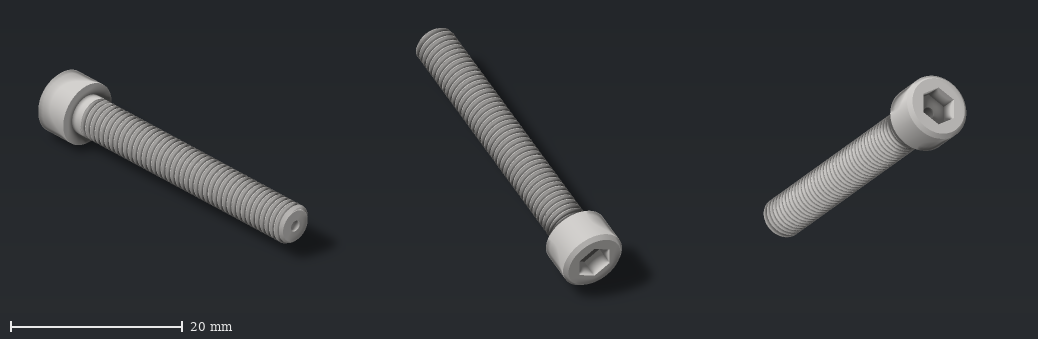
import cadquery as cq
import math


head_diameter = 7.82
head_height = 4.7
head_chamfer = 0.48
socket_across_flats = 4.0
socket_depth = 2.5

overall_length = 39.7
shank_length = overall_length - head_height
shank_diameter = 5.0
shank_radius = shank_diameter / 2
plain_length = 1.4
threaded_length = shank_length - plain_length
bore_diameter = 1.4
end_diameter = 3.97

pitch = 0.8
flank_slope = math.tan(math.radians(30))
sharp_height = pitch / 2 / flank_slope
thread_depth = sharp_height * 17 / 24
crest_width = pitch / 8
flank_width = thread_depth * flank_slope
root_radius = shank_radius - thread_depth
crest_on_top = 2.05
piece_count = 10
piece_length = threaded_length / piece_count


def cylinder(start, length, diameter):
    """Cylinder on the X axis, from X = start towards +X."""
    return cq.Workplane("YZ", origin=(start, 0, 0)).circle(diameter / 2).extrude(length)


def make_head():
    blank = cylinder(-head_height, head_height, head_diameter)
    return blank.faces("<X").chamfer(head_chamfer)


def make_socket():
    """Hexagonal pocket with two flats facing +Y and -Y."""
    across_corners = socket_across_flats / math.cos(math.radians(30))
    face = cq.Workplane("YZ", origin=(-head_height, 0, 0)).transformed(rotate=(0, 0, 90))
    return face.polygon(6, across_corners).extrude(socket_depth)


def section_point(radius, offset):
    """Point of the thread section; an axial offset of one pitch is one turn about X."""
    angle = 2 * math.pi * offset / pitch
    return (radius * math.cos(angle), radius * math.sin(angle))


def flank_points(start, end, steps=6):
    """Points after start along a spiral flank; start and end are (radius, offset) pairs."""
    points = []
    for step in range(1, steps + 1):
        share = step / steps
        radius = start[0] + (end[0] - start[0]) * share
        offset = start[1] + (end[1] - start[1]) * share
        points.append(section_point(radius, offset))
    return points


def make_thread_piece():
    """First thread length: the section square to X, twisted one turn per pitch."""
    crest_end = crest_width / 2
    root_start = crest_end + flank_width
    section = (
        cq.Workplane("YZ", origin=(plain_length, 0, 0))
        .moveTo(*section_point(shank_radius, -crest_end))
        .threePointArc(section_point(shank_radius, 0), section_point(shank_radius, crest_end))
        .spline(
            flank_points((shank_radius, crest_end), (root_radius, root_start)),
            includeCurrent=True,
        )
        .threePointArc(
            section_point(root_radius, pitch / 2),
            section_point(root_radius, -root_start),
        )
        .spline(
            flank_points((root_radius, -root_start), (shank_radius, -crest_end)),
            includeCurrent=True,
        )
        .close()
    )
    piece = section.twistExtrude(piece_length, 360 * piece_length / pitch)
    crest_angle = 90 + 360 * (plain_length - crest_on_top) / pitch
    bore = cylinder(plain_length, piece_length, bore_diameter)
    return piece.rotate((0, 0, 0), (1, 0, 0), crest_angle).cut(bore)


def make_end_chamfer():
    """Ring that bevels the shank end at 45 degrees, down to the end face."""
    end_radius = end_diameter / 2
    outer_radius = shank_radius + thread_depth
    return (
        cq.Workplane("XY")
        .moveTo(shank_length + thread_depth, end_radius - thread_depth)
        .lineTo(shank_length + thread_depth, outer_radius)
        .lineTo(shank_length + end_radius - outer_radius, outer_radius)
        .close()
        .revolve(360, (0, 0, 0), (1, 0, 0))
    )


result = make_head().union(cylinder(0, plain_length, shank_diameter))
result = result.cut(make_socket())
result = result.cut(cylinder(-head_height, head_height + plain_length, bore_diameter))

first_piece = make_thread_piece()
for index in range(piece_count):
    shift = index * piece_length
    turn_angle = 360 * shift / pitch
    piece = first_piece.rotate((0, 0, 0), (1, 0, 0), turn_angle).translate((shift, 0, 0))
    if index == piece_count - 1:
        piece = piece.cut(make_end_chamfer(), clean=False)
    result = result.union(piece, clean=False)

result = result.solids()